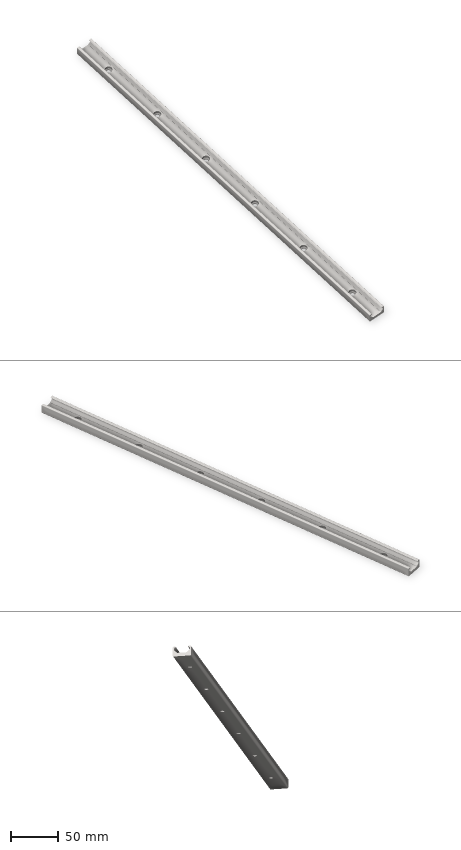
import cadquery as cq
import math

length = 480.0
width = 19.99
height = 11.0
corner_radius = 1.0

floor_thickness = 3.85
floor_width = 11.0
ledge_width = 0.3

lip_opening = 13.0
lip_chamfer = 0.9

raceway_height = 8.0
raceway_span = 17.35
raceway_radius = 2.0

hole_pitch = 80.0
hole_count = 6
hole_diameter = 4.6
head_diameter = 8.4
head_depth = 3.0


def half_rail():
    """The +Y half of the rail: floor, ledge, raceway and lip, with rounded outer corners."""
    riser_y = floor_width / 2
    flank_start_y = riser_y + ledge_width
    lip_edge_y = lip_opening / 2
    lip_edge_z = height - lip_chamfer

    arc_offset = raceway_radius * math.sqrt(0.5)
    arc_deepest_y = raceway_span / 2
    arc_end_y = arc_deepest_y - raceway_radius + arc_offset
    arc_low_z = raceway_height - arc_offset
    arc_high_z = raceway_height + arc_offset

    ledge_z = arc_low_z - (arc_end_y - flank_start_y)
    lip_root_y = arc_end_y - (lip_edge_z - arc_high_z)

    profile = (
        cq.Workplane("YZ")
        .lineTo(width / 2, 0)
        .lineTo(width / 2, height)
        .lineTo(lip_edge_y + lip_chamfer, height)
        .lineTo(lip_edge_y, lip_edge_z)
        .lineTo(lip_root_y, lip_edge_z)
        .lineTo(arc_end_y, arc_high_z)
        .threePointArc((arc_deepest_y, raceway_height), (arc_end_y, arc_low_z))
        .lineTo(flank_start_y, ledge_z)
        .lineTo(riser_y, ledge_z)
        .lineTo(riser_y, floor_thickness)
        .lineTo(0, floor_thickness)
        .close()
    )
    return profile.extrude(length).edges("|X and >Y").fillet(corner_radius)


def drill_mounting_holes(body):
    """Counterbored holes through the floor, with half a pitch left at each end."""
    centres = [(hole_pitch * (i + 0.5), 0) for i in range(hole_count)]
    return (
        body.copyWorkplane(cq.Workplane("XY", origin=(0, 0, floor_thickness)))
        .pushPoints(centres)
        .cboreHole(hole_diameter, head_diameter, head_depth)
    )


half = half_rail()
result = drill_mounting_holes(half.union(half.mirror("XZ")))